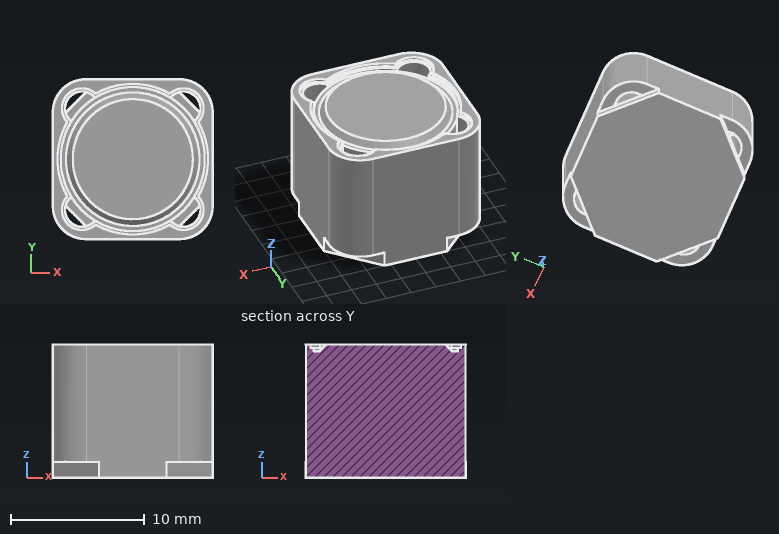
import cadquery as cq

width = 12.0
height = 10.0
corner_radius = 2.52
foot_height = 1.2
foot_corner_cut = 3.48

drum_radius = 5.4
bevel_radius = 5.0
bevel = 0.5
bevel_angle = 45

well_radius = 1.26
well_offset = 3.8

ledge_width = 0.24
ledge_depth = bevel / 2

well_centers = [(x, y) for x in (-well_offset, well_offset) for y in (-well_offset, well_offset)]


def disk(radius, bottom, top):
    return cq.Workplane("XY").workplane(offset=bottom).circle(radius).extrude(top - bottom)


def corner_cylinders(radius, bottom, top):
    plane = cq.Workplane("XY").workplane(offset=bottom)
    return plane.pushPoints(well_centers).circle(radius).extrude(top - bottom)


def make_block():
    foot = cq.Workplane("XY").rect(width, width).extrude(foot_height)
    foot = foot.edges("|Z").chamfer(foot_corner_cut)
    upper = cq.Workplane("XY").workplane(offset=foot_height).rect(width, width).extrude(height - foot_height)
    upper = upper.edges("|Z").fillet(corner_radius)
    return upper.union(foot)


def make_ledge():
    bottom = height - ledge_depth
    around_drum = disk(drum_radius + ledge_width, bottom, height)
    around_wells = corner_cylinders(well_radius + ledge_width, bottom, height)
    return around_drum.union(around_wells)


def make_wells():
    wells = corner_cylinders(well_radius, foot_height, height)
    return wells.cut(disk(drum_radius, foot_height, height))


def make_drum_top():
    base = cq.Workplane("XY").workplane(offset=height - bevel)
    return base.circle(bevel_radius).extrude(bevel, taper=bevel_angle)


drum_clearance = disk(drum_radius, height - bevel, height)

result = make_block().cut(make_ledge()).cut(make_wells())
result = result.cut(drum_clearance).union(make_drum_top())